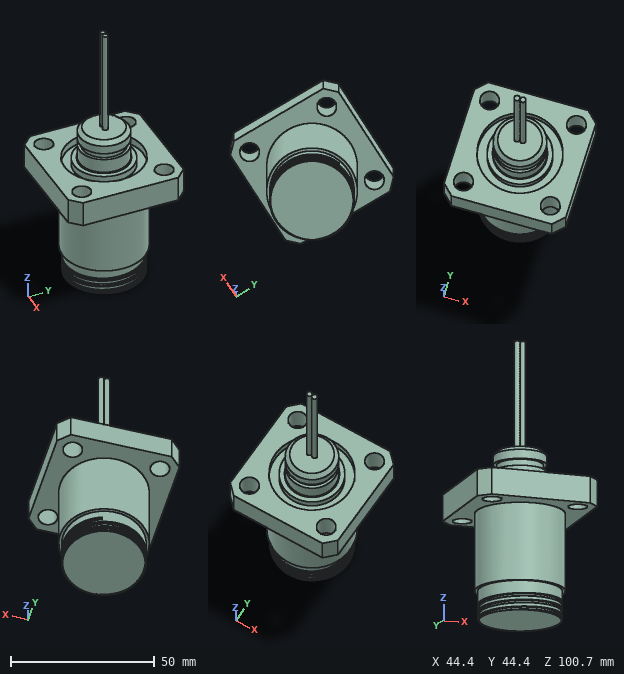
import cadquery as cq

shoulder_z = 10.6
flange_bottom_z = 38.5
flange_top_z = 48.1
groove_bottom_z = 53.6
groove_top_z = 56.1
neck_top_z = 60.9
wire_top_z = 100.7

flange_side = 44.4
corner_chamfer = 3.9
bolt_spacing = 31.6
bolt_hole_diameter = 6.7

barrel_diameter = 31.6
thread_diameter = 29.5
thread_pitch = 2.4
thread_groove_width = 1.2
thread_root_width = 0.7
thread_groove_depth = 0.4
thread_groove_start_z = -1.0
thread_turns = 3.2
end_chamfer = 0.3

recess_diameter = 30.0
recess_depth = 2.9
collar_diameter = 23.0
collar_drop = 0.3

neck_diameter = 18.7
neck_base_diameter = 19.2
neck_groove_diameter = 16.3
neck_chamfer = 1.6

wire_diameter = 2.0
wire_spacing = 2.1


def cylinder(diameter, bottom_z, top_z):
    """Vertical cylinder on the main axis."""
    return cq.Workplane("XY").workplane(offset=bottom_z).circle(diameter / 2).extrude(top_z - bottom_z)


def make_flange():
    """Square plate with cut corners and four through holes."""
    plate = (
        cq.Workplane("XY")
        .workplane(offset=flange_bottom_z)
        .rect(flange_side, flange_side)
        .extrude(flange_top_z - flange_bottom_z)
        .edges("|Z")
        .chamfer(corner_chamfer)
    )
    return (
        plate.faces(">Z")
        .workplane()
        .rect(bolt_spacing, bolt_spacing, forConstruction=True)
        .vertices()
        .hole(bolt_hole_diameter)
    )


def make_thread_groove():
    """Right-handed helical groove with a tapered section, starting on the +X side."""
    radius = thread_diameter / 2
    root_radius = radius - thread_groove_depth
    mouth_radius = radius + thread_groove_depth
    root_half_width = thread_root_width / 2
    mouth_half_width = thread_groove_width - root_half_width
    helix = cq.Wire.makeHelix(
        thread_pitch,
        thread_pitch * thread_turns,
        radius,
        center=cq.Vector(0, 0, thread_groove_start_z),
    )
    section = (
        cq.Workplane("XZ")
        .center(0, thread_groove_start_z)
        .moveTo(root_radius, -root_half_width)
        .lineTo(mouth_radius, -mouth_half_width)
        .lineTo(mouth_radius, mouth_half_width)
        .lineTo(root_radius, root_half_width)
        .close()
    )
    return section.sweep(cq.Workplane(helix), isFrenet=True)


def make_threaded_end():
    """Bottom end of the barrel, chamfered and threaded."""
    end = cylinder(thread_diameter, 0, shoulder_z).faces("<Z").chamfer(end_chamfer)
    return end.cut(make_thread_groove())


def make_recess():
    """Space around and above the collar, inside the flange."""
    floor_z = flange_top_z - recess_depth
    collar = cylinder(collar_diameter, floor_z, flange_top_z - collar_drop)
    return cylinder(recess_diameter, floor_z, flange_top_z).cut(collar)


def make_neck():
    """Neck with a chamfered top and a ring groove, on a slightly wider base inside the recess."""
    base_z = flange_top_z - recess_depth
    base = cylinder(neck_base_diameter, base_z, flange_top_z)
    neck = cylinder(neck_diameter, base_z, neck_top_z).faces(">Z").chamfer(neck_chamfer)
    groove = cylinder(neck_diameter, groove_bottom_z, groove_top_z)
    core = cylinder(neck_groove_diameter, groove_bottom_z, groove_top_z)
    return neck.cut(groove).union(core).union(base)


def make_wires():
    """Two wires side by side along X, rising from the neck."""
    return (
        cq.Workplane("XY")
        .workplane(offset=groove_top_z)
        .pushPoints([(-wire_spacing / 2, 0), (wire_spacing / 2, 0)])
        .circle(wire_diameter / 2)
        .extrude(wire_top_z - groove_top_z)
    )


result = (
    make_flange()
    .union(cylinder(barrel_diameter, shoulder_z, flange_bottom_z))
    .union(make_threaded_end())
    .cut(make_recess())
    .union(make_neck())
    .union(make_wires())
)